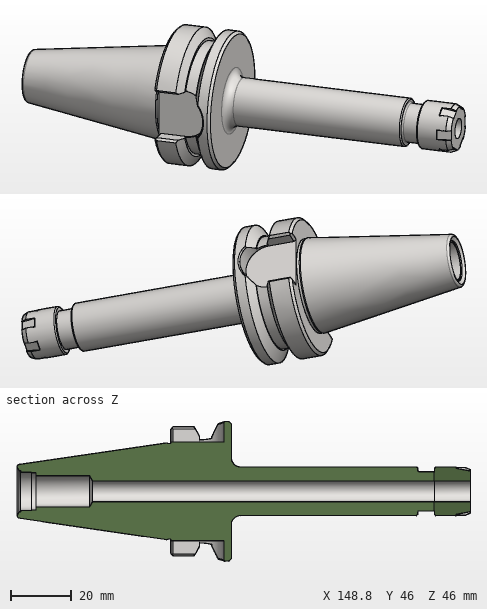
import cadquery as cq
import math

OVERALL_LENGTH = 148.8

TAPER_LENGTH = 49.1
TAPER_RADIUS = 15.9
TAPER_RATIO = 7 / 24
TAPER_ANGLE = math.atan(TAPER_RATIO / 2)
NOSE_FILLET = 0.9
COLLAR_RADIUS = 31.5 / 2
COLLAR_CHAMFER_LENGTH = 0.5

FLANGE_START = 50.5
FLANGE_END = 70.4
FLANGE_RADIUS = 46.0 / 2
FLANGE_CHAMFER = 0.9
GROOVE_START = 58.0
GROOVE_END = 66.0
GROOVE_RADIUS = 18.7
GROOVE_FLOOR_START = 60.0
GROOVE_FLOOR_END = 63.8
GROOVE_FLANK_ANGLE = 30.0

SLOT_WIDTH = 16.0
SLOT_FLOOR = 16.2
SLOT_END = 67.9
SLOT_CHAMFER = 0.7
SLOT_END_CHAMFER = 0.5

SHAFT_RADIUS = 16.0 / 2
SHAFT_END = 131.5
SHAFT_FILLET = 3.0
EDGE_CHAMFER = 0.5
NECK_RADIUS = 13.0 / 2
NECK_FILLET = 0.5

BORE_RADIUS = 6.7 / 2
THREAD_RADIUS = 10.1 / 2
THREAD_END = 23.8
PILOT_RADIUS = 12.5 / 2
PILOT_DEPTH = 4.8
SEAT_RADIUS = 12.2 / 2
SEAT_DEPTH = 6.2
LIP_RADIUS = 13.4 / 2
LIP_DEPTH = 1.2
MOUTH_DEPTH = 0.7
DRILL_TIP_ANGLE = 118.0

NUT_START = 136.9
NUT_RADIUS = SHAFT_RADIUS
NUT_TIP_RADIUS = 7.3
NUT_TIP_LENGTH = 1.6
NUT_SLOT_COUNT = 6
NUT_SLOT_WIDTH = 3.3
NUT_SLOT_LENGTH = 4.8
NUT_SLOT_INNER_FLOOR = 7.6
NUT_SLOT_OUTER_FLOOR = 6.7


def revolve_about_x(outline):
    return outline.close().revolve(360, (0, 0, 0), (1, 0, 0))


def nose_flat_radius():
    """Radius where the end face of the taper meets the nose fillet."""
    sharp_radius = TAPER_RADIUS - TAPER_LENGTH * math.tan(TAPER_ANGLE)
    return sharp_radius - NOSE_FILLET * math.tan((math.pi / 2 - TAPER_ANGLE) / 2)


def nose_fillet_point(turn):
    """Point on the nose fillet, turned by an angle in radians from the end face."""
    x = NOSE_FILLET * (1 - math.cos(turn))
    radius = nose_flat_radius() + NOSE_FILLET * math.sin(turn)
    return x, radius


def root_fillet_middle(shoulder_x, radius, fillet):
    """Middle of the fillet between a shoulder and the cylinder that leaves it toward +X."""
    offset = fillet * (1 - math.sqrt(0.5))
    return shoulder_x + offset, radius + offset


def holder_blank():
    rim_radius = FLANGE_RADIUS - FLANGE_CHAMFER
    flank_slope = 1 / math.tan(math.radians(GROOVE_FLANK_ANGLE))
    first_flank_foot = FLANGE_RADIUS - (GROOVE_FLOOR_START - GROOVE_START) * flank_slope
    second_flank_foot = FLANGE_RADIUS - (GROOVE_END - GROOVE_FLOOR_END) * flank_slope
    turn = math.pi / 2 - TAPER_ANGLE
    nose_fillet_end = nose_fillet_point(turn)
    nose_fillet_middle = nose_fillet_point(turn / 2)
    shaft_fillet_middle = root_fillet_middle(FLANGE_END, SHAFT_RADIUS, SHAFT_FILLET)
    neck_fillet_middle = root_fillet_middle(SHAFT_END, NECK_RADIUS, NECK_FILLET)
    outline = (
        cq.Workplane("XY")
        .lineTo(0, nose_flat_radius())
        .threePointArc(nose_fillet_middle, nose_fillet_end)
        .lineTo(TAPER_LENGTH, TAPER_RADIUS)
        .lineTo(TAPER_LENGTH + COLLAR_CHAMFER_LENGTH, COLLAR_RADIUS)
        .lineTo(FLANGE_START, COLLAR_RADIUS)
        .lineTo(FLANGE_START, rim_radius)
        .lineTo(FLANGE_START + FLANGE_CHAMFER, FLANGE_RADIUS)
        .lineTo(GROOVE_START, FLANGE_RADIUS)
        .lineTo(GROOVE_FLOOR_START, first_flank_foot)
        .lineTo(GROOVE_FLOOR_START, GROOVE_RADIUS)
        .lineTo(GROOVE_FLOOR_END, GROOVE_RADIUS)
        .lineTo(GROOVE_FLOOR_END, second_flank_foot)
        .lineTo(GROOVE_END, FLANGE_RADIUS)
        .lineTo(FLANGE_END - FLANGE_CHAMFER, FLANGE_RADIUS)
        .lineTo(FLANGE_END, rim_radius)
        .lineTo(FLANGE_END, SHAFT_RADIUS + SHAFT_FILLET)
        .threePointArc(shaft_fillet_middle, (FLANGE_END + SHAFT_FILLET, SHAFT_RADIUS))
        .lineTo(SHAFT_END - EDGE_CHAMFER, SHAFT_RADIUS)
        .lineTo(SHAFT_END, SHAFT_RADIUS - EDGE_CHAMFER)
        .lineTo(SHAFT_END, NECK_RADIUS + NECK_FILLET)
        .threePointArc(neck_fillet_middle, (SHAFT_END + NECK_FILLET, NECK_RADIUS))
        .lineTo(NUT_START, NECK_RADIUS)
        .lineTo(NUT_START, 0)
    )
    return revolve_about_x(outline)


def holder_bore():
    tip_length = (THREAD_RADIUS - BORE_RADIUS) / math.tan(math.radians(DRILL_TIP_ANGLE / 2))
    outline = (
        cq.Workplane("XY")
        .lineTo(0, nose_flat_radius())
        .lineTo(MOUTH_DEPTH, LIP_RADIUS)
        .lineTo(LIP_DEPTH, LIP_RADIUS)
        .lineTo(LIP_DEPTH, PILOT_RADIUS)
        .lineTo(PILOT_DEPTH, PILOT_RADIUS)
        .lineTo(PILOT_DEPTH, SEAT_RADIUS)
        .lineTo(SEAT_DEPTH, SEAT_RADIUS)
        .lineTo(SEAT_DEPTH, THREAD_RADIUS)
        .lineTo(THREAD_END, THREAD_RADIUS)
        .lineTo(THREAD_END + tip_length, BORE_RADIUS)
        .lineTo(NUT_START, BORE_RADIUS)
        .lineTo(NUT_START, 0)
    )
    return revolve_about_x(outline)


def drive_slot_rim_chamfer(side):
    """A flared prism that bevels both slot edges on the outside of the flange's first rim."""
    half_width = SLOT_WIDTH / 2
    outer_half_width = half_width + SLOT_CHAMFER
    outer_y = math.sqrt(FLANGE_RADIUS**2 - outer_half_width**2)
    inner_y = outer_y - SLOT_CHAMFER
    outline = [
        (side * inner_y, -half_width),
        (side * outer_y, -outer_half_width),
        (side * FLANGE_RADIUS, -outer_half_width),
        (side * FLANGE_RADIUS, outer_half_width),
        (side * outer_y, outer_half_width),
        (side * inner_y, half_width),
    ]
    prism = cq.Workplane("YZ", origin=(FLANGE_START, 0, 0)).polyline(outline).close()
    return prism.extrude(SLOT_END - SLOT_WIDTH / 2 - FLANGE_START)


def drive_slot(side):
    """A round-ended slot on the +Y (side = 1) or -Y (side = -1) flank, open toward the taper."""
    half_width = SLOT_WIDTH / 2
    end_center = SLOT_END - half_width
    depth = FLANGE_RADIUS - SLOT_FLOOR
    slot = (
        cq.Workplane("XZ", origin=(0, side * SLOT_FLOOR, 0))
        .moveTo(FLANGE_START, -half_width - SLOT_CHAMFER)
        .lineTo(FLANGE_START + SLOT_CHAMFER, -half_width)
        .lineTo(end_center, -half_width)
        .threePointArc((SLOT_END, 0), (end_center, half_width))
        .lineTo(FLANGE_START + SLOT_CHAMFER, half_width)
        .lineTo(FLANGE_START, half_width + SLOT_CHAMFER)
        .close()
        .extrude(-side * depth)
    )
    return slot.union(drive_slot_rim_chamfer(side))


def bevel_slot_ends(holder):
    """Bevel the outer edge of each slot's round end, on the flange's second rim."""
    edges = holder.edges(
        cq.selectors.BoxSelector(
            (GROOVE_END, -FLANGE_RADIUS, -SLOT_WIDTH / 2),
            (SLOT_END, FLANGE_RADIUS, SLOT_WIDTH / 2),
            boundingbox=False,
        )
    )
    return edges.chamfer(SLOT_END_CHAMFER)


def make_holder():
    holder = holder_blank().cut(holder_bore())
    for side in (-1, 1):
        holder = holder.cut(drive_slot(side))
    return bevel_slot_ends(holder)


def nut_slot(angle):
    slot_start = OVERALL_LENGTH - NUT_SLOT_LENGTH
    outline = [
        (slot_start, NUT_RADIUS),
        (slot_start, NUT_SLOT_INNER_FLOOR),
        (OVERALL_LENGTH, NUT_SLOT_OUTER_FLOOR),
        (OVERALL_LENGTH, NUT_RADIUS),
    ]
    slot = cq.Workplane("XY").polyline(outline).close().extrude(NUT_SLOT_WIDTH / 2, both=True)
    return slot.rotate((0, 0, 0), (1, 0, 0), angle)


def make_nut():
    outline = (
        cq.Workplane("XY")
        .moveTo(NUT_START, BORE_RADIUS)
        .lineTo(NUT_START, NUT_RADIUS - EDGE_CHAMFER)
        .lineTo(NUT_START + EDGE_CHAMFER, NUT_RADIUS)
        .lineTo(OVERALL_LENGTH - NUT_TIP_LENGTH, NUT_RADIUS)
        .lineTo(OVERALL_LENGTH, NUT_TIP_RADIUS)
        .lineTo(OVERALL_LENGTH, BORE_RADIUS)
    )
    nut = revolve_about_x(outline)
    for index in range(NUT_SLOT_COUNT):
        nut = nut.cut(nut_slot(index * 360 / NUT_SLOT_COUNT))
    return nut


holder = make_holder()
nut = make_nut()
result = cq.Compound.makeCompound([holder.val(), nut.val()])